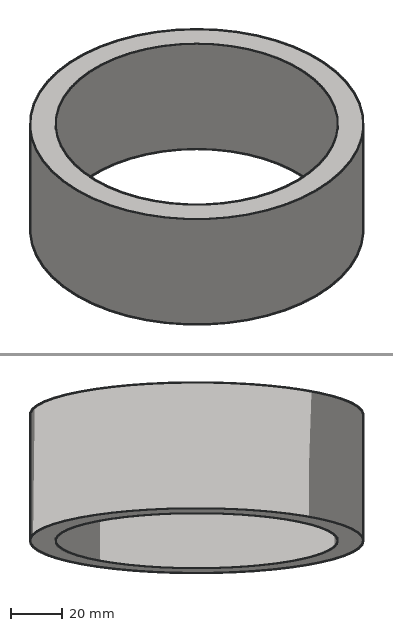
import cadquery as cq

outer_diameter = 130.0
inner_diameter = 110.0
height = 50.0

result = (
    cq.Workplane("XY")
    .circle(outer_diameter / 2)
    .circle(inner_diameter / 2)
    .extrude(height)
)